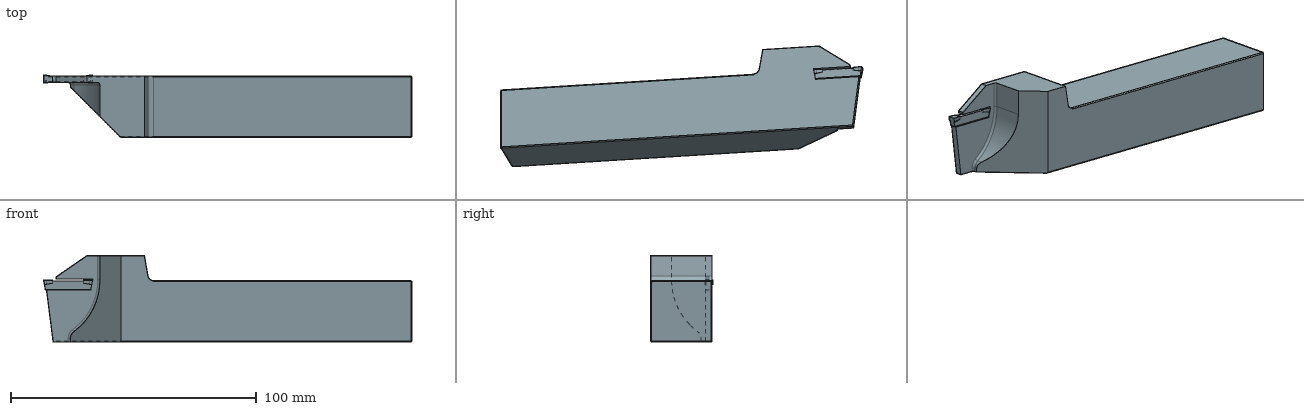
import cadquery as cq
import math

length = 150.0
shank_size = 25.0
shank_start = 44.8
edge_chamfer = 0.5

head_height = 35.2
head_back_top = 41.1
head_back_lean = 1.8
neck_radius = 2.2
bevel_start = 31.5

blade_thickness = 2.7
blade_face = shank_size - blade_thickness
blade_toe = 3.9
jaw_tip = 5.1
jaw_tip_height = 26.5
jaw_top = 17.7

wall_top = 23.0
wall_radius = 26.0
wall_bottom = 11.0
wall_nose_radius = 3.5
wall_fillet = 0.9
margin = 7.5

insert_length = 20.0
insert_top = 25.2
insert_bottom = 21.2
insert_end_lean = 0.8
insert_body_width = 2.4
insert_body_chamfer = 0.3
tip_width = 3.2
tip_overhang = 0.3
tip_length = 3.6
tip_height = 1.8
tip_root_height = 1.2
tip_side_land = 1.2
chip_groove_depth = 0.3
jaw_clearance = 0.5
insert_center_y = shank_size + tip_overhang - tip_width / 2
seat_front = 1.2


def prism(outline, y_start, y_end):
    """Extrude a closed XZ outline from y_start to y_end."""
    return outline.extrude(y_start - y_end).translate((0, y_start, 0))


def make_shank():
    shank = cq.Workplane("XY").box(
        length - shank_start, shank_size, shank_size, centered=False
    )
    shank = shank.edges("|X").chamfer(edge_chamfer)
    shank = shank.faces(">X").edges().chamfer(edge_chamfer)
    return shank.translate((shank_start, 0, 0))


def make_head():
    outline = (
        cq.Workplane("XZ")
        .moveTo(blade_toe, 0)
        .lineTo(shank_start, 0)
        .lineTo(shank_start, shank_size)
        .lineTo(head_back_top + head_back_lean, shank_size)
        .lineTo(head_back_top, head_height)
        .lineTo(jaw_top, head_height)
        .lineTo(jaw_tip, jaw_tip_height)
        .lineTo(jaw_tip, insert_bottom)
        .lineTo(seat_front, insert_bottom)
        .close()
    )
    head = prism(outline, 0, shank_size)
    neck = cq.selectors.NearestToPointSelector(
        (head_back_top + head_back_lean, shank_size / 2, shank_size)
    )
    head = head.edges(neck).fillet(neck_radius)
    return head.faces("<Z").edges("|X").chamfer(edge_chamfer)


def make_bevel_cut():
    """Wedge that leaves a 45 degree face on the -Y side of the head."""
    reach = blade_face
    return (
        cq.Workplane("XY")
        .moveTo(bevel_start + margin, -margin)
        .lineTo(bevel_start - reach, reach)
        .lineTo(-margin, reach)
        .lineTo(-margin, -margin)
        .close()
        .extrude(head_height)
    )


def make_wall_cut():
    """Clearance in front of the curved wall, rounded where it meets the blade."""

    def arc_point(angle):
        x = wall_top - wall_radius * (1 - math.cos(angle))
        z = insert_top - wall_radius * math.sin(angle)
        return x, z

    wall_angle = math.acos(1 - (wall_top - wall_bottom) / wall_radius)
    nose_x, nose_z = arc_point(wall_angle)
    outline = (
        cq.Workplane("XZ")
        .moveTo(wall_top, head_height + margin)
        .lineTo(wall_top, insert_top)
        .threePointArc(arc_point(wall_angle / 2), (nose_x, nose_z))
        .lineTo(wall_bottom, -margin)
        .lineTo(-margin, -margin)
        .lineTo(-margin, head_height + margin)
        .close()
    )
    cut = prism(outline, -margin, blade_face)
    nose = cq.selectors.NearestToPointSelector((nose_x, (blade_face - margin) / 2, nose_z))
    cut = cut.edges(nose).fillet(wall_nose_radius)
    return cut.faces(">Y").edges().fillet(wall_fillet)


def make_insert_seat():
    """Slot through the blade, with clearance under the upper jaw."""
    jaw_bottom = insert_top + jaw_clearance
    outline = (
        cq.Workplane("XZ")
        .moveTo(-margin, insert_bottom)
        .lineTo(insert_length - insert_end_lean, insert_bottom)
        .lineTo(insert_length, insert_top)
        .lineTo(insert_length, jaw_bottom)
        .lineTo(-margin, jaw_bottom)
        .close()
    )
    return prism(outline, blade_face - margin, shank_size + margin)


def make_holder():
    holder = make_head().union(make_shank())
    holder = holder.cut(make_bevel_cut())
    holder = holder.cut(make_wall_cut())
    return holder.cut(make_insert_seat())


def make_insert_tip():
    """Wide cutting tip whose sides taper back into the insert body."""
    half_width = tip_width / 2
    half_body = insert_body_width / 2
    plan = (
        cq.Workplane("XY")
        .moveTo(0, -half_width)
        .lineTo(tip_side_land, -half_width)
        .lineTo(tip_length, -half_body)
        .lineTo(tip_length, half_body)
        .lineTo(tip_side_land, half_width)
        .lineTo(0, half_width)
        .close()
        .extrude(head_height)
        .translate((0, insert_center_y, 0))
    )
    front_lean = insert_end_lean * tip_height / (insert_top - insert_bottom)
    side = (
        cq.Workplane("XZ")
        .moveTo(0, insert_top)
        .lineTo(tip_length, insert_top)
        .lineTo(tip_length, insert_top - tip_root_height)
        .lineTo(front_lean, insert_top - tip_height)
        .close()
    )
    return plan.intersect(prism(side, 0, shank_size + margin))


def make_insert():
    groove_floor = insert_top - chip_groove_depth
    outline = (
        cq.Workplane("XZ")
        .moveTo(0, insert_top)
        .lineTo(tip_length, insert_top)
        .lineTo(tip_length, groove_floor)
        .lineTo(insert_length - tip_length, groove_floor)
        .lineTo(insert_length - tip_length, insert_top)
        .lineTo(insert_length, insert_top)
        .lineTo(insert_length - insert_end_lean, insert_bottom)
        .lineTo(insert_end_lean, insert_bottom)
        .close()
    )
    half_body = insert_body_width / 2
    body = prism(outline, insert_center_y - half_body, insert_center_y + half_body)
    body = body.faces("<Z").edges("|X").chamfer(insert_body_chamfer)
    front_tip = make_insert_tip()
    back_tip = front_tip.mirror("YZ", (insert_length / 2, 0, 0))
    return body.union(front_tip).union(back_tip)


holder = make_holder()
insert = make_insert()
result = cq.Compound.makeCompound([holder.solids().val(), insert.solids().val()])